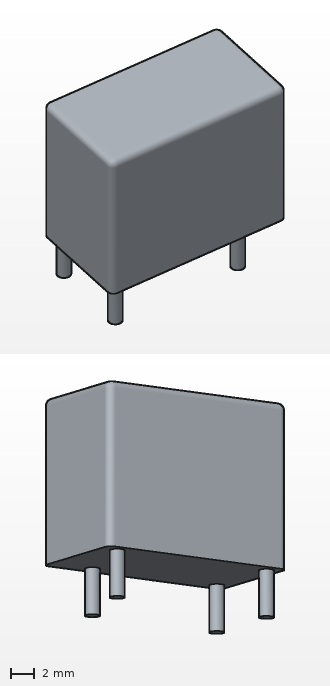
import cadquery as cq

overall_height = 18.54
body_width = 10.16
body_length = 18.19
pin_length = 4.08
body_height = overall_height - pin_length
edge_radius = 0.65

pin_diameter = 1.3
pin_embed = 0.19
pin_pitch = 2.54
pin_row_x = 1.5 * pin_pitch
front_pin_y = -7.82
inner_pin_y = front_pin_y + 5 * pin_pitch
outer_pin_y = front_pin_y + 6 * pin_pitch

pin_positions = [
    (-pin_row_x, front_pin_y),
    (pin_row_x, front_pin_y),
    (-pin_row_x, outer_pin_y),
    (pin_row_x, inner_pin_y),
]

body = cq.Workplane("XY").box(body_width, body_length, body_height, centered=(True, True, False))
body = body.edges("|Z or >Z").fillet(edge_radius)

pins = (
    cq.Workplane("XY")
    .workplane(offset=-pin_length)
    .pushPoints(pin_positions)
    .circle(pin_diameter / 2)
    .extrude(pin_length + pin_embed)
)

result = body.union(pins)